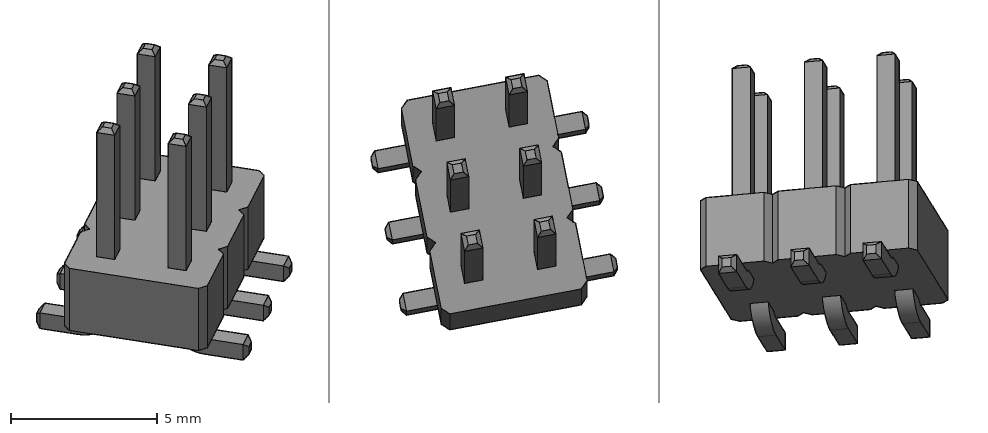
import cadquery as cq

PITCH = 2.54
ROWS = 3
COLUMNS = 2
PIN_SIZE = 0.64
TIP_CHAMFER = 0.16
HEADER_HEIGHT = 8.54
FOOT_SPAN = 7.54
BODY_CLEARANCE = 0.76
BODY_HEIGHT = PITCH
CORNER_CHAMFER = 0.25
INNER_BEND_RADIUS = 0.64

BODY_WIDTH = COLUMNS * PITCH
BODY_LENGTH = ROWS * PITCH
OUTER_BEND_RADIUS = INNER_BEND_RADIUS + PIN_SIZE
PIN_INNER_X = (PITCH - PIN_SIZE) / 2
PIN_OUTER_X = PIN_INNER_X + PIN_SIZE
BEND_CENTER_X = PIN_INNER_X + OUTER_BEND_RADIUS
FOOT_TIP_X = FOOT_SPAN / 2


def make_body():
    """Row of chamfered blocks, one per pin row, whose corners form the side notches."""
    body = cq.Workplane("XY")
    for row in range(ROWS):
        block = (
            cq.Workplane("XY")
            .box(BODY_WIDTH, PITCH, BODY_HEIGHT, centered=(True, True, False))
            .edges("|Z")
            .chamfer(CORNER_CHAMFER)
            .translate((0, row_y(row), BODY_CLEARANCE))
        )
        body = body.union(block)
    return body


def row_y(row):
    """Y position of a pin row, with the rows centred on the origin."""
    return (row - (ROWS - 1) / 2) * PITCH


def make_pin():
    """Square pin on the +X side, bent outward into a foot, with both tips chamfered."""
    pin = (
        cq.Workplane("XZ")
        .moveTo(PIN_INNER_X, HEADER_HEIGHT)
        .lineTo(PIN_INNER_X, OUTER_BEND_RADIUS)
        .radiusArc((BEND_CENTER_X, 0), -OUTER_BEND_RADIUS)
        .lineTo(FOOT_TIP_X, 0)
        .lineTo(FOOT_TIP_X, PIN_SIZE)
        .lineTo(BEND_CENTER_X, PIN_SIZE)
        .radiusArc((PIN_OUTER_X, OUTER_BEND_RADIUS), INNER_BEND_RADIUS)
        .lineTo(PIN_OUTER_X, HEADER_HEIGHT)
        .close()
        .extrude(PIN_SIZE / 2, both=True)
    )
    pin = pin.faces(">Z").chamfer(TIP_CHAMFER)
    return pin.faces(">X").chamfer(TIP_CHAMFER)


def make_header():
    """Body with a mirrored pair of bent pins in every row."""
    right_pin = make_pin()
    left_pin = right_pin.mirror("YZ")
    header = make_body()
    for row in range(ROWS):
        for pin in (left_pin, right_pin):
            header = header.union(pin.translate((0, row_y(row), 0)))
    return header.clean()


result = make_header()